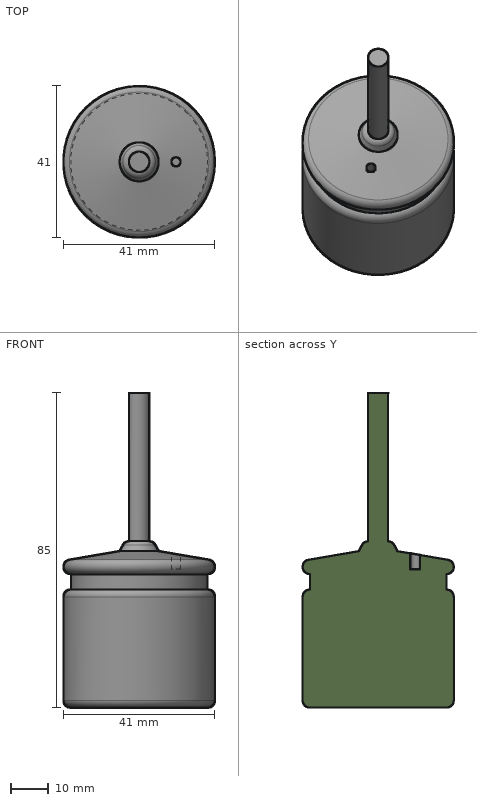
import cadquery as cq
import math

total_height = 85.0
body_radius = 41.0 / 2
neck_radius = 37.0 / 2
stem_radius = 5.5 / 2

edge_radius = body_radius - neck_radius
body_top = 32.0
neck_height = 4.1
rim_bottom = body_top + neck_height
rim_middle = rim_bottom + edge_radius

collar_base_radius = 5.3
collar_base_height = 42.3
collar_top_height = 45.0
collar_slope = math.radians(28)

hole_diameter = 2.5
hole_offset = 9.95
hole_floor = 37.4


def arc_point(center_radius, center_height, arc_radius, angle):
    """Point on a profile arc, with the angle measured up from the horizontal."""
    return (
        center_radius + arc_radius * math.cos(angle),
        center_height + arc_radius * math.sin(angle),
    )


def rim_tangent_angle():
    """Angle on the rim arc where the straight lid line leaves tangentially."""
    inward = collar_base_radius - neck_radius
    upward = collar_base_height - rim_middle
    distance = math.hypot(inward, upward)
    return math.atan2(upward, inward) - math.acos(edge_radius / distance)


def collar_flank_end():
    """Upper end of the sloped collar flank, where the round that ends at the stem begins."""
    round_rise = (1 - math.sin(collar_slope)) / math.cos(collar_slope)
    lean = math.tan(collar_slope)
    collar_height = collar_top_height - collar_base_height
    collar_width = collar_base_radius - stem_radius
    flank_rise = (collar_height - round_rise * collar_width) / (1 - round_rise * lean)
    return collar_base_radius - flank_rise * lean, collar_base_height + flank_rise


def make_turned_part():
    """Revolve the half profile of body, neck, rim, lid, collar and stem."""
    lid_angle = rim_tangent_angle()
    rim_end = arc_point(neck_radius, rim_middle, edge_radius, lid_angle)

    flank_end_radius, flank_end_height = collar_flank_end()
    collar_round = (flank_end_radius - stem_radius) / math.cos(collar_slope)
    round_height = collar_top_height - collar_round
    round_middle = (collar_slope + math.pi / 2) / 2

    profile = (
        cq.Workplane("XZ")
        .lineTo(neck_radius, 0)
        .threePointArc(
            arc_point(neck_radius, edge_radius, edge_radius, -math.pi / 4),
            (body_radius, edge_radius),
        )
        .lineTo(body_radius, body_top - edge_radius)
        .threePointArc(
            arc_point(neck_radius, body_top - edge_radius, edge_radius, math.pi / 4),
            (neck_radius, body_top),
        )
        .lineTo(neck_radius, rim_bottom)
        .threePointArc((body_radius, rim_middle), rim_end)
        .lineTo(collar_base_radius, collar_base_height)
        .lineTo(flank_end_radius, flank_end_height)
        .threePointArc(
            arc_point(stem_radius, round_height, collar_round, round_middle),
            (stem_radius, collar_top_height),
        )
        .lineTo(stem_radius, total_height)
        .lineTo(0, total_height)
        .close()
    )
    return profile.revolve(360, (0, 0, 0), (0, 1, 0))


def make_lid_hole():
    """Vertical cutter that reaches from the hole floor out through the lid."""
    return (
        cq.Workplane("XY", origin=(hole_offset, 0, hole_floor))
        .circle(hole_diameter / 2)
        .extrude(collar_top_height - hole_floor)
    )


result = make_turned_part().cut(make_lid_hole())